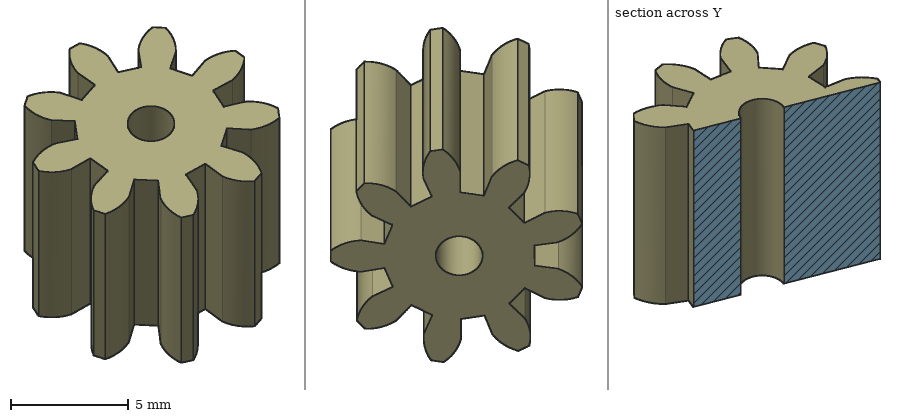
import cadquery as cq
import math

tooth_count = 9
gear_height = 9.38
bore_diameter = 2.0

root_radius = 3.25
pitch_radius = 4.27
flank_half_angle = 10.9

tip_distance = 5.49
tip_half_width = 0.27
crown_distance = 4.85
crown_half_width = 0.67

tooth_pitch_angle = 360 / tooth_count


def polar(radius, degrees):
    """Return the point at a radius and an angle about the gear axis."""
    angle = math.radians(degrees)
    return radius * math.cos(angle), radius * math.sin(angle)


def turned(point, degrees):
    """Return a point rotated about the gear axis."""
    x, y = point
    radius = math.hypot(x, y)
    return polar(radius, math.degrees(math.atan2(y, x)) + degrees)


def gear_outline():
    """Draw the closed tooth outline, with straight root flats between the teeth."""
    outline = cq.Workplane("XY").moveTo(*polar(root_radius, -flank_half_angle))
    for tooth in range(tooth_count):
        axis = tooth * tooth_pitch_angle
        next_axis = axis + tooth_pitch_angle
        outline = (
            outline
            .lineTo(*polar(pitch_radius, axis - flank_half_angle))
            .threePointArc(
                turned((crown_distance, -crown_half_width), axis),
                turned((tip_distance, -tip_half_width), axis),
            )
            .lineTo(*turned((tip_distance, tip_half_width), axis))
            .threePointArc(
                turned((crown_distance, crown_half_width), axis),
                polar(pitch_radius, axis + flank_half_angle),
            )
            .lineTo(*polar(root_radius, axis + flank_half_angle))
        )
        if tooth < tooth_count - 1:
            outline = outline.lineTo(*polar(root_radius, next_axis - flank_half_angle))
    return outline.close()


gear_body = gear_outline().extrude(gear_height)
bore = cq.Workplane("XY").circle(bore_diameter / 2).extrude(gear_height)

result = gear_body.cut(bore)